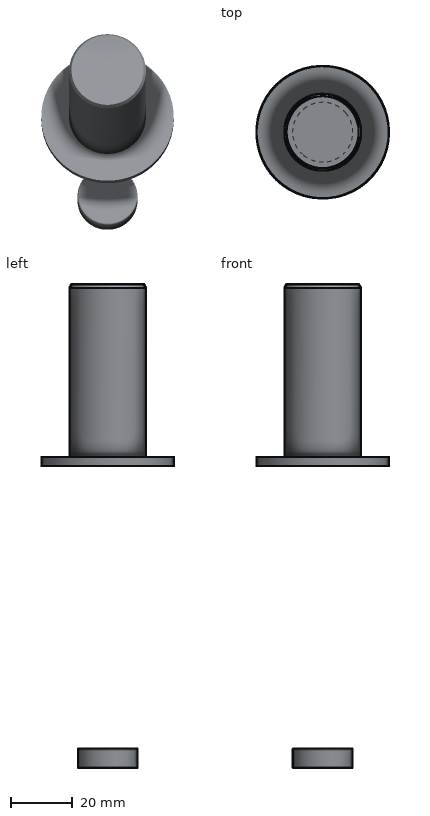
import cadquery as cq

total_height = 157.0

flange_diameter = 43.0
flange_thickness = 3.0
shaft_diameter = 25.0
pin_height = 59.0
shaft_chamfer_height = 1.3
shaft_chamfer_width = 0.8

disc_diameter = 19.5
disc_height = 6.5
disc_fillet = 0.5


def make_flanged_pin():
    """Round shaft with a steeply chamfered top, standing on a thin flange."""
    flange = cq.Workplane("XY").circle(flange_diameter / 2).extrude(flange_thickness)
    shaft = cq.Workplane("XY").circle(shaft_diameter / 2).extrude(pin_height - shaft_chamfer_height)
    bevel = cq.Workplane("XY").workplane(offset=pin_height - shaft_chamfer_height)
    bevel = bevel.circle(shaft_diameter / 2).workplane(offset=shaft_chamfer_height)
    bevel = bevel.circle(shaft_diameter / 2 - shaft_chamfer_width).loft()
    return flange.union(shaft).union(bevel).translate((0, 0, total_height - pin_height))


def make_disc():
    """Short cylinder with both rims rounded."""
    disc = cq.Workplane("XY").circle(disc_diameter / 2).extrude(disc_height)
    return disc.faces("<Z or >Z").edges().fillet(disc_fillet)


flanged_pin = make_flanged_pin()
disc = make_disc()

result = cq.Compound.makeCompound([flanged_pin.val(), disc.val()])